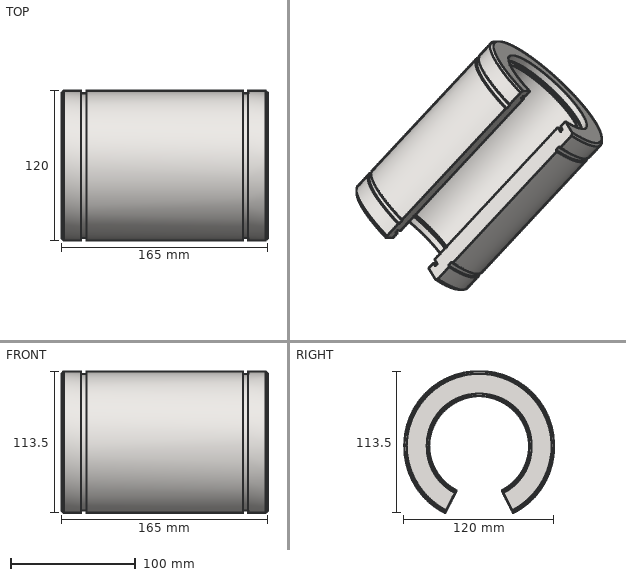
import cadquery as cq
import math

length = 165.0
outer_radius = 60.0
bore_radius = 40.0
end_chamfer = 2.0
opening_angle = 54.0

groove_span = 133.7
groove_width = 4.15
groove_radius = 58.0
groove_inset = (length - groove_span) / 2

mouth_radius = 42.0
mouth_depth = 5.85
inner_groove_radius = 46.0
inner_groove_width = 2.45


def disc(radius, start, width):
    """Solid cylinder on the X axis, beginning at x = start."""
    return cq.Workplane("YZ").workplane(offset=start).circle(radius).extrude(width)


def sleeve():
    body = disc(outer_radius, 0, length).faces("<X or >X").edges().chamfer(end_chamfer)
    return body.cut(disc(bore_radius, 0, length))


def outer_groove(start):
    outer = disc(outer_radius, start, groove_width)
    return outer.cut(disc(groove_radius, start, groove_width))


def opening_wedge():
    """Wedge from the axis down past the outer surface, along the full length."""
    half_angle = math.radians(opening_angle / 2)
    depth = outer_radius
    half_width = depth * math.tan(half_angle)
    outline = [(0, 0), (half_width, -depth), (-half_width, -depth)]
    return cq.Workplane("YZ").polyline(outline).close().extrude(length)


bushing = sleeve()

for groove_start in (groove_inset, length - groove_inset - groove_width):
    bushing = bushing.cut(outer_groove(groove_start))

for mouth_start in (0, length - mouth_depth):
    bushing = bushing.cut(disc(mouth_radius, mouth_start, mouth_depth))

for groove_start in (mouth_depth, length - mouth_depth - inner_groove_width):
    bushing = bushing.cut(disc(inner_groove_radius, groove_start, inner_groove_width))

result = bushing.cut(opening_wedge())